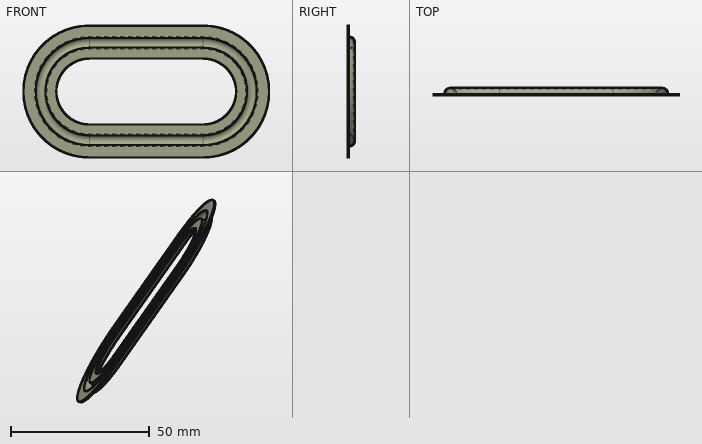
import cadquery as cq

length = 88.5
height = 47.5
depth = 2.7
sheet = 0.5

opening_height = 23.6
bead_middle_radius = 17.5

straight = length - height
front = -depth / 2
back = front + sheet
bead_radius = depth - sheet
groove_radius = bead_radius - sheet


def oval_outline(end_radius):
    """Oval with round ends, drawn on the front face of the flange."""
    return cq.Workplane("XZ", origin=(0, front, 0)).slot2D(straight + 2 * end_radius, 2 * end_radius)


def half_round_ring(radius):
    """Oval ring with straight sides through the flange and a half-round back."""
    inner = bead_middle_radius - radius
    outer = bead_middle_radius + radius
    return (
        cq.Workplane("YZ")
        .moveTo(front, inner)
        .lineTo(back, inner)
        .threePointArc((back + radius, bead_middle_radius), (back, outer))
        .lineTo(front, outer)
        .close()
        .sweep(oval_outline(bead_middle_radius))
    )


flange = oval_outline(height / 2).extrude(-sheet)
opening = oval_outline(opening_height / 2).extrude(-sheet)
bead = half_round_ring(bead_radius)
groove = half_round_ring(groove_radius)

result = flange.cut(opening).union(bead).cut(groove)